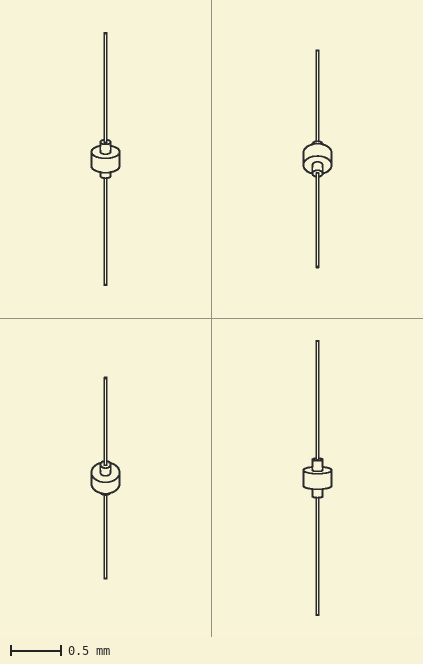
import cadquery as cq

total_length = 2.81
disc_diameter = 0.28
disc_height = 0.16
hub_diameter = 0.1
hub_length = 0.38
wire_diameter = 0.025


def centered_cylinder(diameter, length):
    """Solid cylinder along Z, centred on the origin."""
    base = cq.Workplane("XY").workplane(offset=-length / 2)
    return base.circle(diameter / 2).extrude(length)


wire = centered_cylinder(wire_diameter, total_length)
hub = centered_cylinder(hub_diameter, hub_length)
disc = centered_cylinder(disc_diameter, disc_height)

result = disc.union(hub).union(wire)